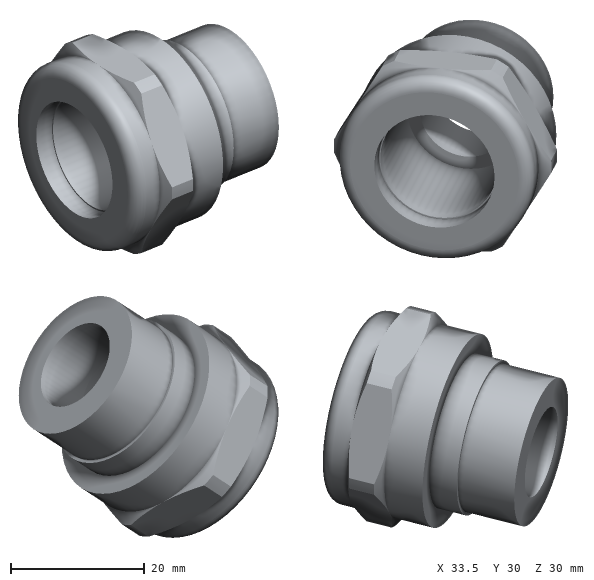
import cadquery as cq
import math

total_length = 30.0

collar_diameter = 30.0
collar_end = 16.6
shoulder_diameter = 24.0
shoulder_end = 21.0
spigot_diameter = 23.0
front_round_radius = 2.0

hex_across_flats = collar_diameter
hex_sides = 6
hex_corner_diameter = 33.5
hex_start = 4.5
hex_width = 6.0
hex_chamfer_angle = 30.0

mouth_diameter = 18.5
mouth_depth = 3.0
socket_diameter = 18.0
socket_depth = shoulder_end
through_diameter = 14.0


def cylinder(diameter, start, end):
    """Cylinder on the Y axis between two axial positions."""
    plane = cq.Workplane("XZ", origin=(0, start, 0))
    return plane.circle(diameter / 2).extrude(start - end)


def make_body():
    """Three-stage turned body with a rounded front rim."""
    collar = cylinder(collar_diameter, 0, collar_end)
    collar = collar.faces("<Y").edges().fillet(front_round_radius)
    shoulder = cylinder(shoulder_diameter, collar_end, shoulder_end)
    spigot = cylinder(spigot_diameter, shoulder_end, total_length)
    return collar.union(shoulder).union(spigot)


def make_hexagon():
    """Hexagon with turned corners and conical chamfers on both ends."""
    across_corners = hex_across_flats / math.cos(math.pi / hex_sides)
    prism = (
        cq.Workplane("XZ", origin=(0, hex_start, 0))
        .polygon(hex_sides, across_corners)
        .extrude(-hex_width)
    )

    corner_radius = hex_corner_diameter / 2
    chamfer_radius = hex_across_flats / 2
    chamfer_rise = (corner_radius - chamfer_radius) * math.tan(math.radians(hex_chamfer_angle))
    hex_end = hex_start + hex_width
    turned_envelope = (
        cq.Workplane("XY")
        .moveTo(0, hex_start)
        .lineTo(chamfer_radius, hex_start)
        .lineTo(corner_radius, hex_start + chamfer_rise)
        .lineTo(corner_radius, hex_end - chamfer_rise)
        .lineTo(chamfer_radius, hex_end)
        .lineTo(0, hex_end)
        .close()
        .revolve(360, (0, 0, 0), (0, 1, 0))
    )
    return prism.intersect(turned_envelope)


def make_bore():
    """Wide mouth, cable socket and through hole, all on the Y axis."""
    mouth = cylinder(mouth_diameter, 0, mouth_depth)
    socket = cylinder(socket_diameter, 0, socket_depth)
    through_hole = cylinder(through_diameter, 0, total_length)
    return mouth.union(socket).union(through_hole)


result = make_body().union(make_hexagon()).cut(make_bore())